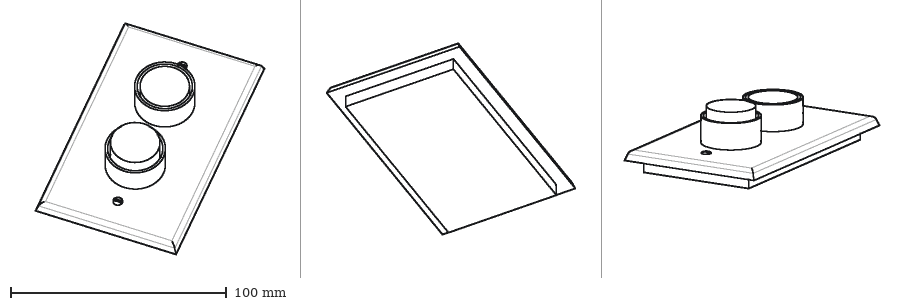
import cadquery as cq

box_width = 56.7
box_length = 101.6
box_height = 6.3

plate_width = 69.8
plate_length = 114.3
plate_thickness = 4.8
plate_side_angle = 20.0
plate_edge_radius = 2.5
plate_top = box_height + plate_thickness

button_offset = 19.1
button_diameter = 23.0
collar_outer_diameter = 28.0
collar_inner_diameter = 25.6
overall_height = 28.6
button_travel = 4.7
collar_height = overall_height - button_travel - plate_top
start_button_height = collar_height
stop_button_height = collar_height + button_travel

screw_offset = 41.6
screw_diameter = 4.5
screw_height = 0.8
slot_width = 0.8
slot_depth = 0.6


def make_box():
    return cq.Workplane("XY").box(box_width, box_length, box_height, centered=(True, True, False))


def make_plate():
    blank = (
        cq.Workplane("XY", origin=(0, 0, box_height))
        .rect(plate_width, plate_length)
        .extrude(plate_thickness, taper=plate_side_angle)
    )
    return blank.faces(">Z").edges().fillet(plate_edge_radius)


def make_button(y, button_height):
    """Collar and button, separated by an open gap down to the plate."""
    base = cq.Workplane("XY", origin=(0, y, plate_top))
    collar = (
        base.circle(collar_outer_diameter / 2)
        .circle(collar_inner_diameter / 2)
        .extrude(collar_height)
    )
    button = base.circle(button_diameter / 2).extrude(button_height)
    return collar.union(button)


def make_screw_head(y):
    """Half-ellipsoid dome with a straight slot along X."""
    head = (
        cq.Workplane("XZ")
        .lineTo(screw_diameter / 2, 0)
        .ellipseArc(screw_diameter / 2, screw_height, 0, 90, startAtCurrent=True)
        .close()
        .revolve(360, (0, 0, 0), (0, 1, 0))
    )
    slot = (
        cq.Workplane("XY", origin=(0, 0, screw_height - slot_depth))
        .rect(screw_diameter, slot_width)
        .extrude(slot_depth)
    )
    return head.cut(slot).translate((0, y, plate_top))


result = make_box().union(make_plate())
result = result.union(make_button(button_offset, start_button_height))
result = result.union(make_button(-button_offset, stop_button_height))
for screw_y in (-screw_offset, screw_offset):
    result = result.union(make_screw_head(screw_y))